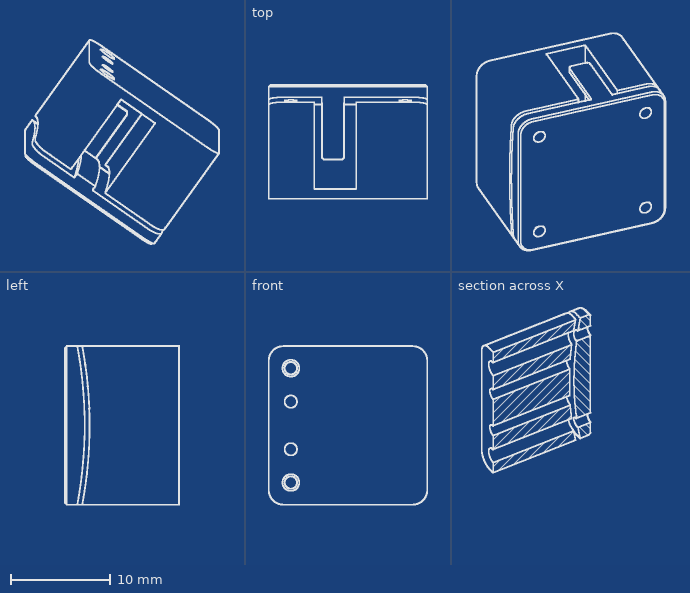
import cadquery as cq

side = 16
depth = 11.5
corner_radius = 1.5
half_side = side / 2

lid_edge_thickness = 1.25
lid_bulge = 0.75
gap = 0.5
lid_edge_y = depth - lid_edge_thickness
housing_edge_y = lid_edge_y - gap

back_chamfer = 0.2
screw_hole_diameter = 1.23
hole_inset = 2.24
tongue_width = 2.24
tongue_left_offset = 5.38
tongue_tip_y = 3.97
tongue_thickness = 0.5
tongue_tip_chamfer = 0.2

slot_width = 4.2
slot_left_offset = 4.6
front_wall = 1.0
access_hole_diameter = 1.7
small_hole_diameter = 1.25
small_hole_inset = 5.6

hole_offset = half_side - hole_inset
small_hole_offset = half_side - small_hole_inset
slot_x = slot_left_offset - half_side
tongue_x = tongue_left_offset - half_side


def rounded_block():
    """Full block with rounded edges parallel to Y."""
    block = cq.Workplane("XY").box(side, depth, side).translate((0, depth / 2, 0))
    return block.edges("|Y").fillet(corner_radius)


def space_behind(edge_y):
    """Space on the +Y side of an arc that starts and ends at edge_y and dips toward -Y at mid height."""
    return (
        cq.Workplane("YZ")
        .moveTo(edge_y, half_side)
        .threePointArc((edge_y - lid_bulge, 0), (edge_y, -half_side))
        .lineTo(depth, -half_side)
        .lineTo(depth, half_side)
        .close()
        .extrude(half_side, both=True)
    )


def holes_along_y(centers, diameter):
    """Cylinders parallel to Y that pass through the whole depth."""
    drills = cq.Workplane("XZ").pushPoints(centers).circle(diameter / 2)
    return drills.extrude(-depth)


def make_housing():
    """Block with a concave back, a slot open toward the lid and a column of holes near its -X side."""
    body = rounded_block().cut(space_behind(housing_edge_y))
    slot = cq.Workplane("XY").box(slot_width, depth, side, centered=(False, False, True))
    body = body.cut(slot.translate((slot_x, front_wall, 0)))
    access_points = [(-hole_offset, z) for z in (-hole_offset, hole_offset)]
    small_points = [(-hole_offset, z) for z in (-small_hole_offset, small_hole_offset)]
    body = body.cut(holes_along_y(access_points, access_hole_diameter))
    return body.cut(holes_along_y(small_points, small_hole_diameter))


def make_tongue():
    """Flat tongue flush with the top of the lid, reaching forward over the slot."""
    tongue_length = depth - back_chamfer - tongue_tip_y
    tongue = (
        cq.Workplane("XY")
        .box(tongue_width, tongue_length, tongue_thickness, centered=False)
        .edges("|Z and <Y")
        .chamfer(tongue_tip_chamfer)
    )
    return tongue.translate((tongue_x, tongue_tip_y, half_side - tongue_thickness))


def make_web():
    """Full-height web at the root of the tongue that bridges the gap, flush with the housing's curved back."""
    column = cq.Workplane("XY").box(tongue_width, lid_edge_y, side, centered=(False, False, True))
    return column.translate((tongue_x, 0, 0)).intersect(space_behind(housing_edge_y))


def make_lid():
    """Convex plate with four screw holes, a tongue and the web that supports it."""
    body = rounded_block().faces(">Y").chamfer(back_chamfer).intersect(space_behind(lid_edge_y))
    screw_points = [(x, z) for x in (-hole_offset, hole_offset) for z in (-hole_offset, hole_offset)]
    body = body.cut(holes_along_y(screw_points, screw_hole_diameter))
    return body.union(make_tongue()).union(make_web())


housing = make_housing()
lid = make_lid()
result = cq.Compound.makeCompound([housing.val(), lid.val()])